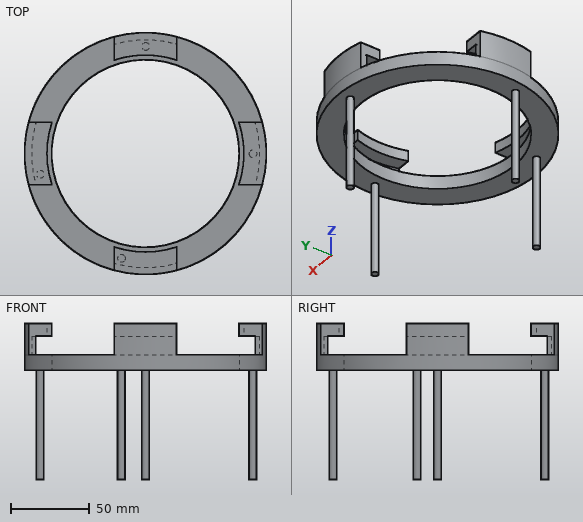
import cadquery as cq
import math

outer_diameter = 155.0
inner_diameter = 120.0
ring_thickness = 10.0
outer_radius = outer_diameter / 2
inner_radius = inner_diameter / 2

total_height = 100.0
clip_height = 20.0
ring_top = total_height - clip_height
ring_bottom = ring_top - ring_thickness

clip_width = 40.0
clip_count = 4
wall_inner_radius = 73.0
lip_inner_radius = 63.1
lip_thickness = 8.0

leg_diameter = 5.0
leg_circle_radius = (outer_radius + inner_radius) / 2
leg_angles = (0, 90, 191, 257)
leg_overlap = 1.5


def annulus(inside_radius, bottom, top):
    """Flat ring reaching from inside_radius to the outer wall."""
    return (
        cq.Workplane("XY")
        .workplane(offset=bottom)
        .circle(outer_radius)
        .circle(inside_radius)
        .extrude(top - bottom)
    )


def clip(angle):
    """Hooked clip with parallel sides, at the given angle from +X."""
    hook = annulus(wall_inner_radius, ring_top, total_height).union(
        annulus(lip_inner_radius, total_height - lip_thickness, total_height)
    )
    strip = cq.Workplane("XY").box(
        outer_radius, clip_width, total_height, centered=(False, True, False)
    )
    return hook.intersect(strip).rotate((0, 0, 0), (0, 0, 1), angle)


def leg(angle):
    """Round leg from the floor into the underside of the ring."""
    x = leg_circle_radius * math.cos(math.radians(angle))
    y = leg_circle_radius * math.sin(math.radians(angle))
    return (
        cq.Workplane("XY")
        .center(x, y)
        .circle(leg_diameter / 2)
        .extrude(ring_bottom + leg_overlap)
    )


result = annulus(inner_radius, ring_bottom, ring_top)
for index in range(clip_count):
    result = result.union(clip(index * 360 / clip_count))
for leg_angle in leg_angles:
    result = result.union(leg(leg_angle))